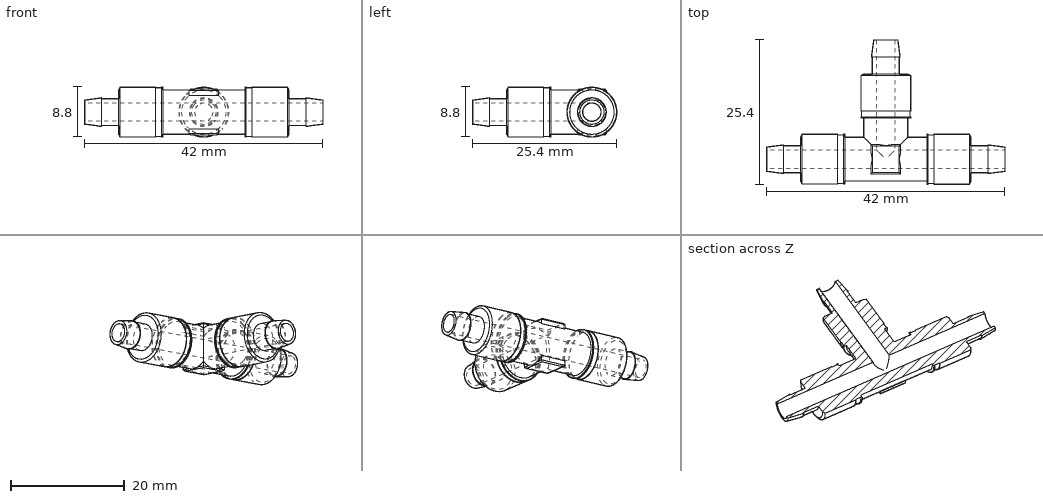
import cadquery as cq

arm_length = 42 / 2

bore_diameter = 3.2
tip_diameter = 4.3
barb_diameter = 5.1
neck_diameter = 4.8
body_diameter = 7.8
collar_diameter = 8.8
groove_diameter = 8.6

barb_length = 3.0
collar_start = 6.0
collar_end = 12.5
rim_start = 13.52
rim_end = 13.78
collar_chamfer_length = 0.25

flat_width = 1.15

pad_side = 5.12
pad_height = 4.05
pad_chamfer = 0.25


def make_arm():
    """Solid arm along +Y, revolved from its stepped half profile."""
    profile = [
        (0, arm_length),
        (tip_diameter / 2, arm_length),
        (barb_diameter / 2, arm_length - barb_length),
        (neck_diameter / 2, arm_length - barb_length),
        (neck_diameter / 2, arm_length - collar_start),
        (body_diameter / 2, arm_length - collar_start),
        (collar_diameter / 2, arm_length - collar_start - collar_chamfer_length),
        (collar_diameter / 2, arm_length - collar_end),
        (groove_diameter / 2, arm_length - collar_end),
        (groove_diameter / 2, arm_length - rim_start),
        (collar_diameter / 2, arm_length - rim_start),
        (collar_diameter / 2, arm_length - rim_end),
        (body_diameter / 2, arm_length - rim_end),
        (body_diameter / 2, 0),
        (0, 0),
    ]
    return cq.Workplane("XY").polyline(profile).close().revolve(360, (0, 0), (0, 1))


def flatten_run(run):
    """Trim the front of the run's body to a flat between the two rims."""
    body_radius = body_diameter / 2
    flat_distance = (body_radius**2 - (flat_width / 2) ** 2) ** 0.5
    body_span = 2 * (arm_length - rim_end)
    trim = cq.Workplane("XY").box(body_span, body_radius, body_diameter)
    return run.cut(trim.translate((0, -flat_distance - body_radius / 2, 0)))


def make_pads():
    """Block through the tee whose chamfered ends form the two pads."""
    block = cq.Workplane("XY").box(pad_side, pad_side, 2 * pad_height)
    return block.faces("|Z").edges().chamfer(pad_chamfer)


def make_bores():
    """Through bore of the run joined by the branch bore."""
    bore_radius = bore_diameter / 2
    run_bore = cq.Workplane("YZ").circle(bore_radius).extrude(arm_length, both=True)
    branch_bore = cq.Workplane("XZ").circle(bore_radius).extrude(-arm_length)
    return run_bore.union(branch_bore)


branch = make_arm()
run = flatten_run(
    branch.rotate((0, 0, 0), (0, 0, 1), 90).union(branch.rotate((0, 0, 0), (0, 0, 1), -90))
)
result = run.union(branch).union(make_pads()).cut(make_bores())